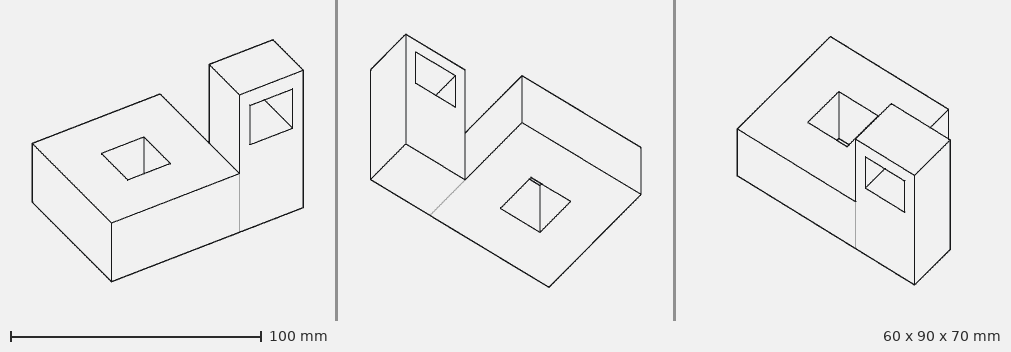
import cadquery as cq

total_length = 90.0
base_side = 60.0
base_height = 30.0
post_width = 23.0
post_height = 70.0
window_side = 20.0
window_top_margin = 7.5

post_depth = total_length - base_side
window_center_y = base_side + post_depth / 2
window_center_z = post_height - window_top_margin - window_side / 2


def corner_box(width, depth, height):
    """Box with its minimum corner at the origin."""
    return cq.Workplane("XY").box(width, depth, height, centered=False)


base = corner_box(base_side, base_side, base_height)
base_hole = cq.Workplane("XY").center(base_side / 2, base_side / 2).rect(window_side, window_side)
base = base.cut(base_hole.extrude(base_height))

post_start_x = base_side - post_width
post = corner_box(post_width, post_depth, post_height).translate((post_start_x, base_side, 0))
post_window = (
    cq.Workplane("YZ", origin=(post_start_x, 0, 0))
    .center(window_center_y, window_center_z)
    .rect(window_side, window_side)
    .extrude(post_width)
)
post = post.cut(post_window)

result = base.union(post, clean=False)